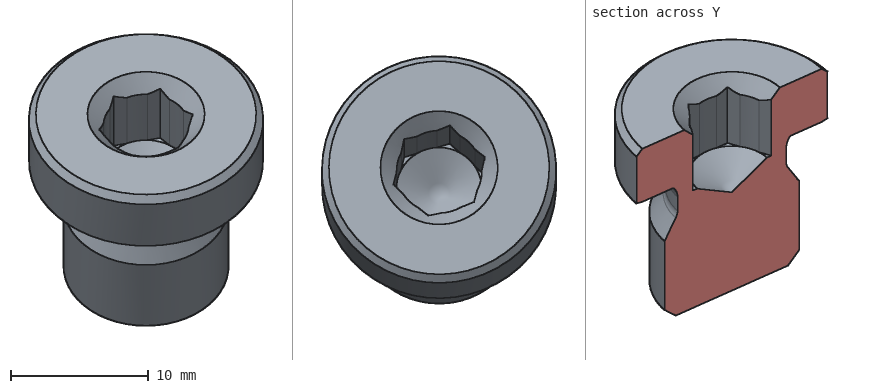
import cadquery as cq
import math

length = 17.0
head_radius = 8.5
head_height = 5.0
head_chamfer = 0.51
head_bottom = length - head_height
seat_radius = 7.99
seat_relief = 0.1

neck_radius = 9.7 / 2
neck_top = 11.05
head_blend_radius = 1.5
cone_blend_radius = 1.15
cone_angle = math.radians(30)

shank_radius = 12.0 / 2
shank_top = 7.45
tip_chamfer = 1.0

hex_across_flats = 6.0
socket_depth = 6.0
pilot_radius = 3.1
pilot_point_angle = math.radians(120)
countersink_radius = 4.25
hex_corner_diameter = hex_across_flats / math.cos(math.pi / 6)


def blend_point(radius, angle):
    """Radial offset and axial travel along a blend that starts parallel to the axis."""
    return radius * (1 - math.cos(angle)), radius * math.sin(angle)


def make_body():
    """Revolve the outer profile of shank, neck and head."""
    cone_offset, cone_travel = blend_point(cone_blend_radius, cone_angle)
    cone_mid_offset, cone_mid_travel = blend_point(cone_blend_radius, cone_angle / 2)
    cone_top_radius = neck_radius + cone_offset
    cone_top = shank_top + (shank_radius - cone_top_radius) / math.tan(cone_angle)
    neck_bottom = cone_top + cone_travel

    head_angle = math.asin((head_bottom - neck_top) / head_blend_radius)
    head_offset, _ = blend_point(head_blend_radius, head_angle)
    head_mid_offset, head_mid_travel = blend_point(head_blend_radius, head_angle / 2)

    profile = (
        cq.Workplane("XZ")
        .moveTo(0, 0)
        .lineTo(shank_radius - tip_chamfer, 0)
        .lineTo(shank_radius, tip_chamfer)
        .lineTo(shank_radius, shank_top)
        .lineTo(cone_top_radius, cone_top)
        .threePointArc(
            (neck_radius + cone_mid_offset, neck_bottom - cone_mid_travel),
            (neck_radius, neck_bottom),
        )
        .lineTo(neck_radius, neck_top)
        .threePointArc(
            (neck_radius + head_mid_offset, neck_top + head_mid_travel),
            (neck_radius + head_offset, head_bottom),
        )
        .lineTo(seat_radius, head_bottom)
        .lineTo(head_radius, head_bottom + seat_relief)
        .lineTo(head_radius, length - head_chamfer)
        .lineTo(head_radius - head_chamfer, length)
        .lineTo(0, length)
        .close()
    )
    return profile.revolve(360, (0, 0, 0), (0, 1, 0))


def make_socket():
    """Hexagon, pilot bore with a drill point, and a 45 degree countersink."""
    floor = length - socket_depth
    point = floor - pilot_radius / math.tan(pilot_point_angle / 2)
    hexagon = (
        cq.Workplane("XY")
        .workplane(offset=floor)
        .polygon(6, hex_corner_diameter)
        .extrude(socket_depth)
    )
    bore = (
        cq.Workplane("XZ")
        .moveTo(0, point)
        .lineTo(pilot_radius, floor)
        .lineTo(pilot_radius, length - (countersink_radius - pilot_radius))
        .lineTo(countersink_radius, length)
        .lineTo(0, length)
        .close()
        .revolve(360, (0, 0, 0), (0, 1, 0))
    )
    return hexagon.union(bore)


result = make_body().cut(make_socket())